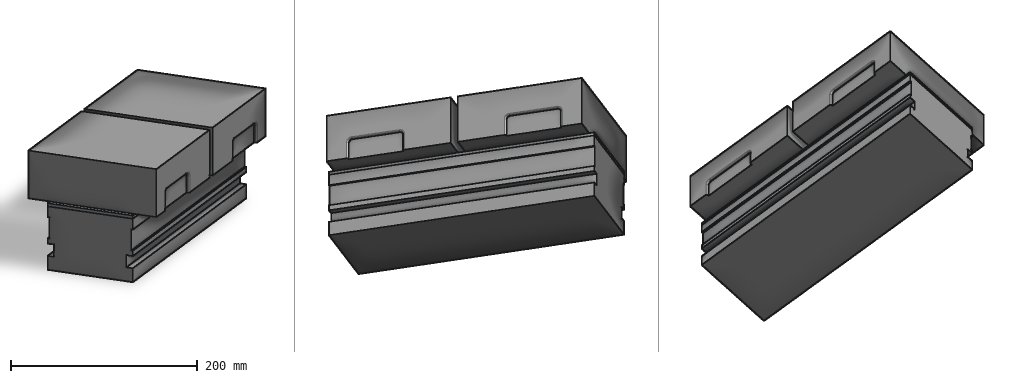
import cadquery as cq

LENGTH = 300.0
BASE_WIDTH = 100.0
BASE_HEIGHT = 72.0

CLAMP_GROOVE_BOTTOM = 16.0
CLAMP_GROOVE_TOP = 29.7
CLAMP_GROOVE_DEPTH = 7.5
SIDE_RELIEF_BOTTOM = 35.7
SIDE_RELIEF_TOP = 59.7
SIDE_RELIEF_DEPTH = 2.0

COVER_THICKNESS = 3.5
COVER_TOP = BASE_HEIGHT + COVER_THICKNESS

TOTAL_HEIGHT = 130.0
BLOCK_WIDTH = 150.0
BLOCK_LENGTH = 140.0
BLOCK_HEIGHT = TOTAL_HEIGHT - COVER_TOP
BLOCK_GAP = 8.0
BLOCK_CENTER_Y = (BLOCK_GAP + BLOCK_LENGTH) / 2

GRIP_LENGTH = 61.5
GRIP_HEIGHT = 23.0
GRIP_DEPTH = 3.0
GRIP_CORNER_RADIUS = 4.0
GRIP_RIM_RADIUS = 2.0
GRIP_END_MARGIN = 24.3


def make_base():
    """Solid rail with a wide relief and a clamping groove along both sides."""
    base = cq.Workplane("XY").box(BASE_WIDTH, LENGTH, BASE_HEIGHT, centered=(True, True, False))
    grooves = [
        (CLAMP_GROOVE_BOTTOM, CLAMP_GROOVE_TOP, CLAMP_GROOVE_DEPTH),
        (SIDE_RELIEF_BOTTOM, SIDE_RELIEF_TOP, SIDE_RELIEF_DEPTH),
    ]
    for bottom, top, depth in grooves:
        for side in (-1, 1):
            cutter = (
                cq.Workplane("XY")
                .box(2 * depth, LENGTH, top - bottom, centered=(True, True, False))
                .translate((side * BASE_WIDTH / 2, 0, bottom))
            )
            base = base.cut(cutter)
    return base


def make_cover():
    """Flat plate covering the whole top of the rail."""
    return (
        cq.Workplane("XY")
        .box(BASE_WIDTH, LENGTH, COVER_THICKNESS, centered=(True, True, False))
        .translate((0, 0, BASE_HEIGHT))
    )


def cut_grip(block, side):
    """Cut the grip recess into one side (-1 or 1 along X) of a block whose outer end faces -Y."""
    side_x = side * BLOCK_WIDTH / 2
    center_y = -BLOCK_LENGTH / 2 + GRIP_END_MARGIN + GRIP_LENGTH / 2

    cutter = (
        cq.Workplane("XY")
        .box(2 * GRIP_DEPTH, GRIP_LENGTH, 2 * GRIP_HEIGHT)
        .edges("|X")
        .fillet(GRIP_CORNER_RADIUS)
        .translate((side_x, center_y, 0))
    )
    block = block.cut(cutter)

    reach = GRIP_DEPTH / 4
    rim = cq.selectors.BoxSelector(
        (side_x - reach, center_y - GRIP_LENGTH / 2 - reach, reach),
        (side_x + reach, center_y + GRIP_LENGTH / 2 + reach, GRIP_HEIGHT + reach),
    )
    return block.edges(rim).fillet(GRIP_RIM_RADIUS)


def make_block():
    """Block centred on the Z axis with its bottom at Z = 0 and its outer end facing -Y."""
    block = cq.Workplane("XY").box(BLOCK_WIDTH, BLOCK_LENGTH, BLOCK_HEIGHT, centered=(True, True, False))
    for side in (-1, 1):
        block = cut_grip(block, side)
    return block


base = make_base()
cover = make_cover()

blocks = []
for turn in (0, 180):
    block = make_block().translate((0, -BLOCK_CENTER_Y, COVER_TOP))
    blocks.append(block.rotate((0, 0, 0), (0, 0, 1), turn).val())

result = cq.Compound.makeCompound([base.val(), cover.val(), *blocks])